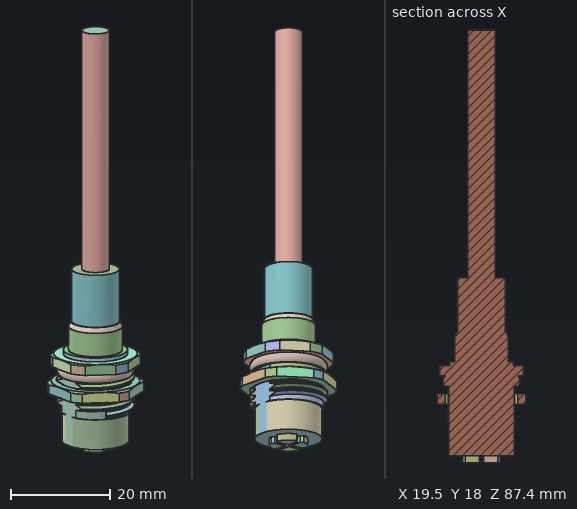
import cadquery as cq
import math

total_height = 87.4
cable_length = 50.0
cable_radius = 2.8

insert_radius = 3.9
insert_height = 1.4
insert_slot_width = 0.8
insert_slot_mouth_width = 1.85

nose_radius = 6.8
nose_top = 7.7
barrel_radius = 7.1
flat_distance = 6.7
collar_radius = 6.5
collar_top = 20.5

thread_pitch = 1.5
thread_radius = 7.9
thread_start = 8.65
thread_start_angle = -20.0
thread_turns = 4.25
thread_root_width = 1.4
thread_crest_width = 0.15
thread_embed = 0.15

seal_bottom = 15.45
seal_outer_radius = 7.85
seal_edge_radius = 7.45

nut_bottom = 11.8
nut_thickness = 2.2
nut_across_flats = 18.0
nut_corner_diameter = 19.5
nut_bore_radius = 7.3
flange_bottom = 17.5
flange_thickness = 2.2
flange_across_flats = 17.0
flange_corner_diameter = 18.1
hex_chamfer_angle = 20.0
hex_chamfer_inset = 0.05

grip_radius = 5.45
grip_top = 25.4
grip_cone_height = 1.1
grip_cone_top_radius = 5.05
sleeve_radius = 4.85

sleeve_top = total_height - cable_length
flange_top = flange_bottom + flange_thickness
seal_middle = (seal_bottom + flange_bottom) / 2


def cylinder(radius, bottom, top):
    """Solid cylinder on the Z axis between two levels."""
    return cq.Workplane("XY").workplane(offset=bottom).circle(radius).extrude(top - bottom)


def turned_hexagon(bottom, thickness, across_flats, corner_diameter):
    """Hexagon with flats facing +Y and -Y, rounded corners and a chamfered top edge."""
    full_corner_diameter = across_flats / math.cos(math.radians(30))
    prism = (
        cq.Workplane("XY")
        .workplane(offset=bottom)
        .polygon(6, full_corner_diameter)
        .extrude(thickness)
    )
    corner_radius = corner_diameter / 2
    top_radius = across_flats / 2 - hex_chamfer_inset
    chamfer_run = corner_radius - top_radius
    chamfer_drop = chamfer_run * math.tan(math.radians(hex_chamfer_angle))
    top = bottom + thickness
    envelope = (
        cq.Workplane("XZ")
        .moveTo(0, bottom)
        .lineTo(corner_radius, bottom)
        .lineTo(corner_radius, top - chamfer_drop)
        .lineTo(top_radius, top)
        .lineTo(0, top)
        .close()
        .revolve(360, (0, 0, 0), (0, 1, 0))
    )
    return prism.intersect(envelope)


def thread_ridge():
    """Right-handed helical ridge, starting near the +X side and rooted just inside the barrel."""
    root_radius = barrel_radius - thread_embed
    helix = cq.Wire.makeHelix(
        thread_pitch,
        thread_pitch * thread_turns,
        barrel_radius,
        center=cq.Vector(0, 0, thread_start),
    )
    profile = (
        cq.Workplane("XZ")
        .moveTo(root_radius, thread_start - thread_root_width / 2)
        .lineTo(thread_radius, thread_start - thread_crest_width / 2)
        .lineTo(thread_radius, thread_start + thread_crest_width / 2)
        .lineTo(root_radius, thread_start + thread_root_width / 2)
        .close()
    )
    ridge = profile.sweep(cq.Workplane(obj=helix), isFrenet=True)
    return ridge.rotate((0, 0, 0), (0, 0, 1), thread_start_angle)


def threaded_housing():
    """Nose and threaded barrel, both trimmed by a flat on +Y and on -Y."""
    nose = cylinder(nose_radius, insert_height, nose_top)
    barrel = cylinder(barrel_radius, nose_top, seal_middle)
    housing = nose.union(barrel).union(thread_ridge())
    between_flats = (
        cq.Workplane("XY")
        .box(4 * thread_radius, 2 * flat_distance, 2 * total_height)
    )
    return housing.intersect(between_flats)


def contact_insert():
    """Insert stub split into four quadrants by slots that flare at 45 degrees to their mouths."""
    half_slot = insert_slot_width / 2
    half_mouth = insert_slot_mouth_width / 2
    mouth_distance = math.sqrt(insert_radius**2 - half_mouth**2)
    flare_start = mouth_distance - (half_mouth - half_slot)
    flare_end = insert_radius
    half_flare = half_slot + flare_end - flare_start
    slot = (
        cq.Workplane("XY")
        .moveTo(0, -half_slot)
        .lineTo(flare_start, -half_slot)
        .lineTo(flare_end, -half_flare)
        .lineTo(flare_end, half_flare)
        .lineTo(flare_start, half_slot)
        .lineTo(0, half_slot)
        .close()
        .extrude(insert_height)
    )
    insert = cylinder(insert_radius, 0, insert_height)
    for angle in (0, 90, 180, 270):
        insert = insert.cut(slot.rotate((0, 0, 0), (0, 0, 1), angle))
    return insert


def sealing_ring():
    """Rubber ring with a bulging rim, seated under the flange and solid to the axis."""
    return (
        cq.Workplane("XZ")
        .moveTo(0, seal_bottom)
        .lineTo(seal_edge_radius, seal_bottom)
        .threePointArc((seal_outer_radius, seal_middle), (seal_edge_radius, flange_bottom))
        .lineTo(0, flange_bottom)
        .close()
        .revolve(360, (0, 0, 0), (0, 1, 0))
    )


def grip_and_cable():
    """Collar, stepped grip, sleeve and cable as one turned shape."""
    cone_top = grip_top + grip_cone_height
    return (
        cq.Workplane("XZ")
        .moveTo(0, flange_top)
        .lineTo(collar_radius, flange_top)
        .lineTo(collar_radius, collar_top)
        .lineTo(grip_radius, collar_top)
        .lineTo(grip_radius, grip_top)
        .lineTo(grip_cone_top_radius, cone_top)
        .lineTo(sleeve_radius, cone_top)
        .lineTo(sleeve_radius, sleeve_top)
        .lineTo(cable_radius, sleeve_top)
        .lineTo(cable_radius, total_height)
        .lineTo(0, total_height)
        .close()
        .revolve(360, (0, 0, 0), (0, 1, 0))
    )


nut_blank = turned_hexagon(nut_bottom, nut_thickness, nut_across_flats, nut_corner_diameter)
nut_bore = cylinder(nut_bore_radius, nut_bottom, nut_bottom + nut_thickness)
nut = nut_blank.cut(nut_bore)
flange = turned_hexagon(
    flange_bottom, flange_thickness, flange_across_flats, flange_corner_diameter
)

result = (
    threaded_housing()
    .union(contact_insert())
    .union(nut)
    .union(sealing_ring())
    .union(flange)
    .union(grip_and_cable())
)